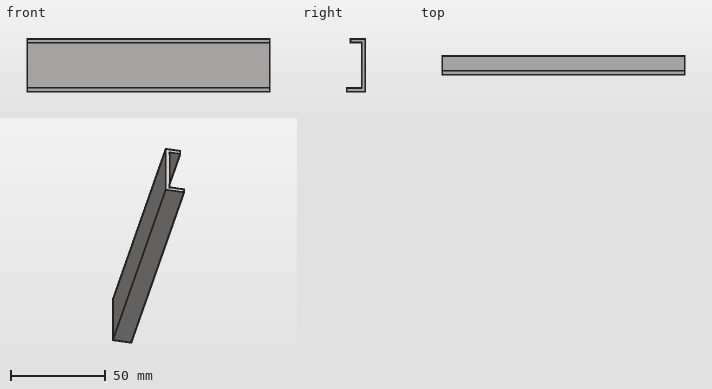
import cadquery as cq

length = 128.2
height = 28.0
bottom_flange_depth = 10.0
top_flange_depth = 8.0
wall = 2.0

profile = [
    (0, 0),
    (-bottom_flange_depth, 0),
    (-bottom_flange_depth, wall),
    (-wall, wall),
    (-wall, height - wall),
    (-top_flange_depth, height - wall),
    (-top_flange_depth, height),
    (0, height),
]

result = cq.Workplane("YZ").polyline(profile).close().extrude(length)